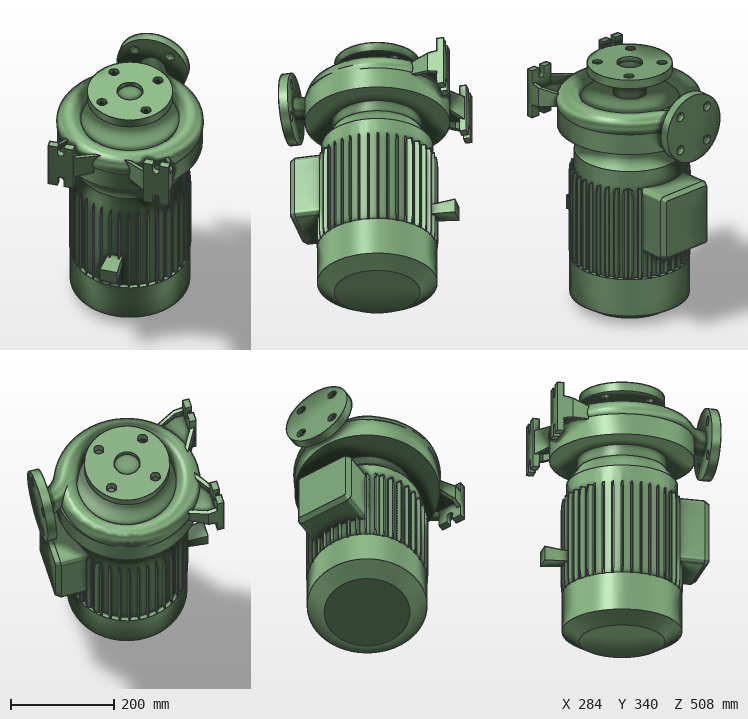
import cadquery as cq
import math


FAN_COVER_RADIUS = 116.0
FAN_COVER_BASE_RADIUS = 83.0
FAN_COVER_TAPER = 20.0
FAN_COVER_TOP = 97.5
MOTOR_RADIUS = 107.5
FIN_TOP = 288.5
FIN_COUNT = 40
FIN_WIDTH = 2.0
FIN_PITCH_RADIUS = 118.0
FIN_RADIUS = 117.5
FIN_END_RADIUS = FAN_COVER_RADIUS
FIN_END_LENGTH = 16.0
FIN_SLAB_LENGTH = 90.0
FIN_ROOT_RADIUS = MOTOR_RADIUS - 2.0
SHOULDER_BOTTOM = 324.5
SHOULDER_TOP = 353.5
LANTERN_RADIUS = 87.0

CASING_RADIUS = 140.0
CASING_BOTTOM = 376.0
CASING_TOP = 425.0
VOLUTE_Z = 428.0
TUBE_RADIUS = 24.0
VOLUTE_RADIUS = 118.0
VOLUTE_START_ANGLE = 180.0
OUTLET_TURN = 66.6
TONGUE_ANGLE = 90.0
TONGUE_RADIUS = 115.5
TONGUE_TUBE_WIDTH = 20.0
TONGUE_TUBE_HEIGHT = 21.5
TAPER_SECTIONS = 5
TAPER_END_ANGLE = 70.0
COVER_RIM_RADIUS = 100.0
COVER_RIM_Z = 434.5
COVER_HUB_Z = 444.0

TOTAL_HEIGHT = 508.0
FLANGE_THICKNESS = 18.0
SUCTION_FLANGE_RADIUS = 82.5
SUCTION_BOLT_CIRCLE = 125.0
SUCTION_NECK_RADIUS = 32.5
SUCTION_BORE_RADIUS = 25.0
SUCTION_BORE_DEPTH = 10.0
BOLT_HOLE_DIAMETER = 19.0

DISCHARGE_FACE_Y = 180.0
DISCHARGE_FLANGE_RADIUS = 70.0
DISCHARGE_BOLT_CIRCLE = 100.0

BOX_WIDTH = 121.0
BOX_HEIGHT = 134.0
BOX_FACE_Y = 160.0
BOX_CORNER_RADIUS = 11.0
BOX_CHAMFER_DEPTH = 10.0
BOX_CHAMFER_INSET = 6.5

FOOT_FACE_Y = -160.0
FOOT_CENTER_X = 95.5
FOOT_WIDTH = 50.0
FOOT_HEIGHT = 100.0
FOOT_THICKNESS = 13.0
FOOT_SLOT_WIDTH = 13.0
FOOT_SLOT_DEPTH = 22.0
WEB_THICKNESS = 8.0
WEB_HALF_HEIGHT = 23.0
WEB_TAPER = 0.18
WEB_BEND_Y = -129.0
OUTER_WEB_ANGLE = 65.0
OUTER_WEB_LENGTH = 55.0
INNER_WEB_ANGLE = 30.0
INNER_WEB_LENGTH = 68.0
FLOOR_THICKNESS = 10.0

PEG_Z = 161.5
PEG_FACE_Y = -158.5
PEG_ROOT_Y = -105.0
PEG_FACE_SIZE = (35.0, 28.5)
PEG_ROOT_SIZE = (28.0, 20.0)


def make_body():
    """Motor, lantern, casing, volute cover and suction neck as one turned shape."""
    profile = [
        (0, 0),
        (FAN_COVER_BASE_RADIUS, 0),
        (FAN_COVER_RADIUS, FAN_COVER_TAPER),
        (FAN_COVER_RADIUS, FAN_COVER_TOP),
        (MOTOR_RADIUS, FAN_COVER_TOP),
        (MOTOR_RADIUS, SHOULDER_BOTTOM),
        (LANTERN_RADIUS, SHOULDER_TOP),
        (LANTERN_RADIUS, CASING_BOTTOM),
        (CASING_RADIUS, CASING_BOTTOM),
        (CASING_RADIUS, CASING_TOP),
        (COVER_RIM_RADIUS, CASING_TOP),
        (COVER_RIM_RADIUS, COVER_RIM_Z),
        (SUCTION_NECK_RADIUS, COVER_HUB_Z),
        (SUCTION_NECK_RADIUS, TOTAL_HEIGHT - FLANGE_THICKNESS),
        (0, TOTAL_HEIGHT - FLANGE_THICKNESS),
    ]
    return cq.Workplane("XZ").polyline(profile).close().revolve(360, (0, 0), (0, 1))


def make_fins():
    """Cooling fins, parallel within each quarter turn and slightly lower towards both ends."""
    profile = [
        (FIN_ROOT_RADIUS, FAN_COVER_TOP),
        (FIN_END_RADIUS, FAN_COVER_TOP),
        (FIN_RADIUS, FAN_COVER_TOP + FIN_END_LENGTH),
        (FIN_RADIUS, FIN_TOP - FIN_END_LENGTH),
        (FIN_END_RADIUS, FIN_TOP),
        (FIN_ROOT_RADIUS, FIN_TOP),
    ]
    envelope = cq.Workplane("XZ").polyline(profile).close().revolve(360, (0, 0), (0, 1))

    pitch = 2 * math.pi / FIN_COUNT
    fins_per_quarter = FIN_COUNT // 4
    places = []
    for i in range(fins_per_quarter):
        angle = (i - (fins_per_quarter - 1) / 2) * pitch
        places.append((FIN_RADIUS, FIN_PITCH_RADIUS * math.sin(angle)))
    slabs = (
        cq.Workplane("XY", origin=(0, 0, FAN_COVER_TOP))
        .pushPoints(places)
        .rect(FIN_SLAB_LENGTH, FIN_WIDTH)
        .extrude(FIN_TOP - FAN_COVER_TOP)
    )
    quarter = slabs.intersect(envelope)
    return [quarter.rotate((0, 0, 0), (0, 0, 1), turn) for turn in (0, 90, 180, 270)]


def make_terminal_box():
    """Box with rounded edges and a bevelled cover face."""
    return (
        cq.Workplane("XZ")
        .center(0, FIN_TOP - BOX_HEIGHT / 2)
        .rect(BOX_WIDTH, BOX_HEIGHT)
        .extrude(-BOX_FACE_Y)
        .edges("|Y")
        .fillet(BOX_CORNER_RADIUS)
        .faces(">Y")
        .chamfer(BOX_CHAMFER_DEPTH, BOX_CHAMFER_INSET)
    )


def make_peg():
    """Support peg that widens towards its free end."""
    return (
        cq.Workplane("XZ", origin=(0, PEG_ROOT_Y, PEG_Z))
        .rect(*PEG_ROOT_SIZE)
        .workplane(offset=PEG_ROOT_Y - PEG_FACE_Y)
        .rect(*PEG_FACE_SIZE)
        .loft(ruled=True)
    )


def volute_section(angle, radius, width, height):
    """Elliptical tube section standing across the volute at the given angle."""
    turn = math.radians(angle)
    outward = (math.cos(turn), math.sin(turn), 0)
    along = (-math.sin(turn), math.cos(turn), 0)
    center = (radius * outward[0], radius * outward[1], VOLUTE_Z)
    plane = cq.Plane(origin=center, xDir=outward, normal=along)
    return cq.Workplane(plane).ellipse(width, height).wires().val()


def make_volute():
    """Constant tube around most of the casing, closed by a tube narrowing to the tongue."""
    sweep_angle = 360 - VOLUTE_START_ANGLE + OUTLET_TURN
    tube = (
        cq.Workplane("XZ")
        .center(VOLUTE_RADIUS, VOLUTE_Z)
        .circle(TUBE_RADIUS)
        .revolve(sweep_angle, (-VOLUTE_RADIUS, 0), (-VOLUTE_RADIUS, 1))
        .rotate((0, 0, 0), (0, 0, 1), VOLUTE_START_ANGLE)
    )
    wires = []
    for i in range(TAPER_SECTIONS):
        step = i / (TAPER_SECTIONS - 1)
        angle = VOLUTE_START_ANGLE + (TAPER_END_ANGLE - VOLUTE_START_ANGLE) * step
        share = (VOLUTE_START_ANGLE - angle) / (VOLUTE_START_ANGLE - TONGUE_ANGLE)
        section = volute_section(
            angle,
            VOLUTE_RADIUS + share * (TONGUE_RADIUS - VOLUTE_RADIUS),
            TUBE_RADIUS + share * (TONGUE_TUBE_WIDTH - TUBE_RADIUS),
            TUBE_RADIUS + share * (TONGUE_TUBE_HEIGHT - TUBE_RADIUS),
        )
        wires.append(section)
    taper = cq.Workplane(cq.Solid.makeLoft(wires))
    return tube.union(taper)


def make_outlet():
    """Bent pipe from the end of the volute to the middle of the discharge flange."""
    turn = math.radians(OUTLET_TURN)
    start_x = VOLUTE_RADIUS * math.cos(turn)
    bend_radius = start_x / (1 - math.cos(turn))
    end_y = VOLUTE_RADIUS * math.sin(turn) + bend_radius * math.sin(turn)
    return (
        cq.Workplane("XZ", origin=(0, end_y, VOLUTE_Z))
        .circle(TUBE_RADIUS)
        .revolve(OUTLET_TURN, (bend_radius, 0), (bend_radius, 1))
    )


def make_flange(radius, bolt_circle):
    """Round flange lying on Z = 0 with four through holes on the diagonals."""
    return (
        cq.Workplane("XY")
        .circle(radius)
        .extrude(FLANGE_THICKNESS)
        .faces(">Z")
        .workplane()
        .polarArray(bolt_circle / 2, 45, 360, 4)
        .hole(BOLT_HOLE_DIAMETER)
    )


def prism(outline, height):
    """Upright prism centred on the height of the volute."""
    base = cq.Workplane("XY", origin=(0, 0, VOLUTE_Z)).polyline(outline).close()
    return base.extrude(height / 2, both=True)


def make_foot():
    """Slotted plate on the +X side, tied to the casing by two webs and a floor."""
    outer_x = FOOT_CENTER_X + FOOT_WIDTH / 2
    inner_x = FOOT_CENTER_X - FOOT_WIDTH / 2
    back_y = FOOT_FACE_Y + FOOT_THICKNESS

    slot_places = [(FOOT_CENTER_X, VOLUTE_Z + side * FOOT_HEIGHT / 2) for side in (-1, 1)]
    slots = (
        cq.Workplane("XZ", origin=(0, FOOT_FACE_Y, 0))
        .pushPoints(slot_places)
        .slot2D(2 * FOOT_SLOT_DEPTH, FOOT_SLOT_WIDTH, 90)
        .extrude(-FOOT_THICKNESS)
    )
    plate = (
        cq.Workplane("XY", origin=(FOOT_CENTER_X, FOOT_FACE_Y + FOOT_THICKNESS / 2, VOLUTE_Z))
        .box(FOOT_WIDTH, FOOT_THICKNESS, FOOT_HEIGHT)
        .cut(slots)
    )

    outer_turn = math.radians(OUTER_WEB_ANGLE)
    outer_step = (-OUTER_WEB_LENGTH * math.cos(outer_turn), OUTER_WEB_LENGTH * math.sin(outer_turn))
    outer_end = (outer_x + outer_step[0], WEB_BEND_Y + outer_step[1])
    outer_web = [
        (outer_x, back_y),
        (outer_x, WEB_BEND_Y),
        outer_end,
        (outer_end[0] - WEB_THICKNESS, outer_end[1]),
        (outer_x - WEB_THICKNESS, WEB_BEND_Y),
        (outer_x - WEB_THICKNESS, back_y),
    ]
    inner_turn = math.radians(INNER_WEB_ANGLE)
    inner_end = (
        inner_x - INNER_WEB_LENGTH * math.cos(inner_turn),
        back_y + INNER_WEB_LENGTH * math.sin(inner_turn),
    )
    drop = WEB_THICKNESS / math.cos(inner_turn)
    inner_web = [
        (inner_x, back_y),
        inner_end,
        (inner_end[0], inner_end[1] - drop),
        (inner_x, back_y - drop),
    ]
    floor = [(inner_x, back_y), (outer_x, back_y), (outer_x, WEB_BEND_Y), outer_end, inner_end]

    end_y = outer_end[1]
    end_half = WEB_HALF_HEIGHT - WEB_TAPER * (end_y - back_y)
    front_half = WEB_HALF_HEIGHT + WEB_TAPER * FOOT_THICKNESS
    envelope = (
        cq.Workplane("YZ", origin=(0, 0, VOLUTE_Z))
        .polyline(
            [
                (FOOT_FACE_Y, -front_half),
                (FOOT_FACE_Y, front_half),
                (end_y, end_half),
                (end_y, -end_half),
            ]
        )
        .close()
        .extrude(outer_x)
    )
    webs = prism(outer_web, FOOT_HEIGHT).union(prism(inner_web, FOOT_HEIGHT)).intersect(envelope)
    return plate.union(webs).union(prism(floor, FLOOR_THICKNESS))


def make_pump():
    """Join all parts and sink the suction bore."""
    suction_flange = make_flange(SUCTION_FLANGE_RADIUS, SUCTION_BOLT_CIRCLE).translate(
        (0, 0, TOTAL_HEIGHT - FLANGE_THICKNESS)
    )
    discharge_flange = (
        make_flange(DISCHARGE_FLANGE_RADIUS, DISCHARGE_BOLT_CIRCLE)
        .rotate((0, 0, 0), (1, 0, 0), 90)
        .translate((0, DISCHARGE_FACE_Y, VOLUTE_Z))
    )
    foot = make_foot()

    pump = make_body()
    for quarter in make_fins():
        pump = pump.union(quarter)
    pump = pump.union(make_terminal_box()).union(make_peg())
    pump = pump.union(make_volute()).union(make_outlet())
    pump = pump.union(suction_flange).union(discharge_flange)
    pump = pump.union(foot).union(foot.mirror("YZ"))

    bore = (
        cq.Workplane("XY", origin=(0, 0, TOTAL_HEIGHT))
        .circle(SUCTION_BORE_RADIUS)
        .extrude(-SUCTION_BORE_DEPTH)
    )
    return pump.cut(bore)


result = make_pump()